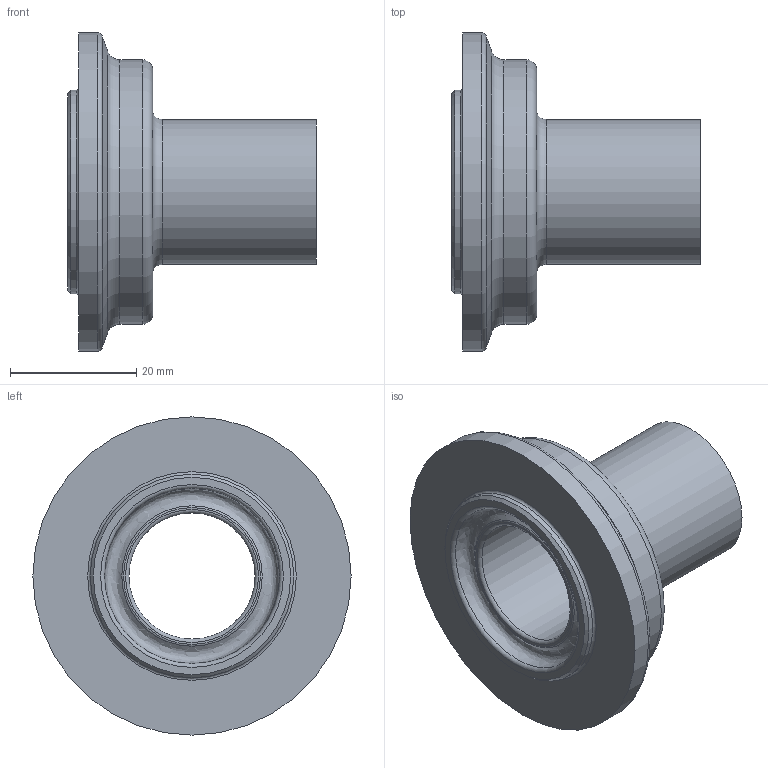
import cadquery as cq
import math

total_length = 39.5
flange_face_x = 1.75
taper_start_x = 5.3
shoulder_end_x = 13.5
lip_face_x = 2.1
groove_bottom_x = 2.9

flange_radius = 50.5 / 2
shoulder_radius = 42.0 / 2
hub_radius = 32.3 / 2
tube_radius = 23.0 / 2
bore_radius = 20.0 / 2
groove_outer_radius = 13.9
groove_bottom_radius = 12.5
groove_inner_radius = 11.02

hub_chamfer = 0.5
hub_root_fillet = 0.4
flange_edge_fillet = 0.75
shoulder_root_fillet = 2.1
shoulder_edge_fillet = 1.6
neck_fillet = 1.5
groove_mouth_fillet = 0.6
lip_groove_fillet = 0.4
lip_bore_fillet = 0.55

flange_taper_angle = math.radians(20.0)
taper_end_x = taper_start_x + (flange_radius - shoulder_radius) * math.tan(flange_taper_angle)

lip_slope_angle = math.radians(45.0)

groove_start = (groove_mouth_fillet, groove_outer_radius)
lip_setback = lip_groove_fillet * math.tan(lip_slope_angle / 2)
lip_slope = (math.sin(lip_slope_angle), math.cos(lip_slope_angle))
groove_end = (
    lip_face_x + lip_setback * lip_slope[0],
    groove_inner_radius + lip_setback * lip_slope[1],
)
groove_bottom = (groove_bottom_x, groove_bottom_radius)

COINCIDENT = 1e-6


def rounded_outline(start, corners, end):
    """Straight sides from start to end; each corner is (x, radius from axis, fillet or 0)."""
    points = [start] + [(x, r) for x, r, _ in corners] + [end]
    outline = cq.Workplane("XY").moveTo(*start)
    current = cq.Vector(*start)
    for index, (x, r, fillet) in enumerate(corners):
        corner = cq.Vector(x, r)
        to_previous = (cq.Vector(*points[index]) - corner).normalized()
        to_next = (cq.Vector(*points[index + 2]) - corner).normalized()
        half_angle = to_previous.getAngle(to_next) / 2
        setback = fillet / math.tan(half_angle)
        apex_distance = fillet / math.sin(half_angle) - fillet
        arc_start = corner + to_previous * setback
        arc_middle = corner + (to_previous + to_next).normalized() * apex_distance
        arc_end = corner + to_next * setback
        if (arc_start - current).Length > COINCIDENT:
            outline = outline.lineTo(arc_start.x, arc_start.y)
        if fillet > 0:
            outline = outline.threePointArc((arc_middle.x, arc_middle.y), (arc_end.x, arc_end.y))
        current = arc_end
    if (cq.Vector(*end) - current).Length > COINCIDENT:
        outline = outline.lineTo(*end)
    return outline


def turned_section():
    """Half section in the XY plane, running from the lip round the outside to the groove."""
    lip_and_bore = [
        (lip_face_x, groove_inner_radius, lip_groove_fillet),
        (lip_face_x, bore_radius, lip_bore_fillet),
        (total_length, bore_radius, 0),
    ]
    tube_and_shoulder = [
        (total_length, tube_radius, 0),
        (shoulder_end_x, tube_radius, neck_fillet),
        (shoulder_end_x, shoulder_radius, shoulder_edge_fillet),
    ]
    flange = [
        (taper_end_x, shoulder_radius, shoulder_root_fillet),
        (taper_start_x, flange_radius, flange_edge_fillet),
        (flange_face_x, flange_radius, 0),
    ]
    hub = [
        (flange_face_x, hub_radius, hub_root_fillet),
        (hub_chamfer, hub_radius, 0),
        (0, hub_radius - hub_chamfer, 0),
        (0, groove_outer_radius, groove_mouth_fillet),
    ]
    corners = lip_and_bore + tube_and_shoulder + flange + hub
    outline = rounded_outline(groove_end, corners, groove_start)
    groove_end_direction = (-lip_slope[0], -lip_slope[1])
    groove = [groove_bottom, groove_end]
    return outline.spline(groove, tangents=[(1, 0), groove_end_direction], includeCurrent=True).close()


result = turned_section().revolve(360, (0, 0, 0), (1, 0, 0))